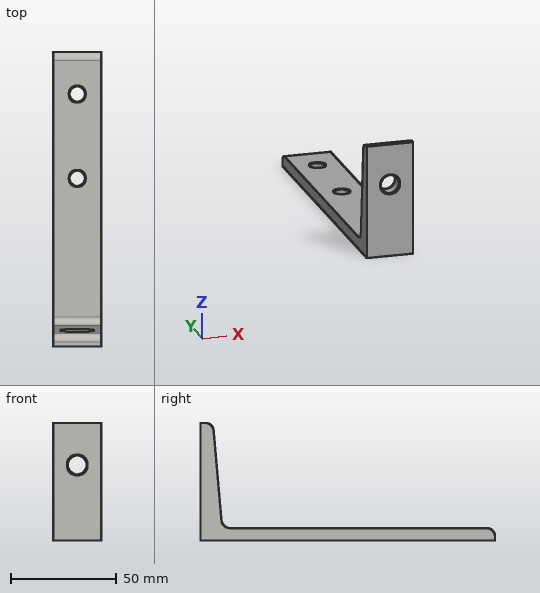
import cadquery as cq
import math

width = 23.0
length = 140.0
height = 56.0
thickness = 6.0
taper_angle = 5.0
edge_radius = 4.0

foot_hole_diameter = 7.3
foot_hole_rim_diameter = 8.1
foot_hole_end_distance = 20.0
foot_hole_spacing = 40.0

upright_hole_diameter = 9.0
upright_hole_rim_diameter = 10.0
upright_hole_height = 36.0
seat_diameter = 16.0
seat_distance = 7.0

taper_slope = math.tan(math.radians(taper_angle))
root_thickness = thickness + (height - thickness) * taper_slope


def make_bracket():
    """Extrude the L outline across the width and round its three edges."""
    outline = [
        (0, 0),
        (length, 0),
        (length, thickness),
        (root_thickness, thickness),
        (thickness, height),
        (0, height),
    ]
    rounded_corners = outline[2:5]
    body = cq.Workplane("YZ").polyline(outline).close().extrude(width / 2, both=True)
    for y, z in rounded_corners:
        corner = cq.selectors.NearestToPointSelector((0, y, z))
        body = body.edges(corner).fillet(edge_radius)
    return body


def chamfered_hole_cutter(diameter, rim_diameter, depth):
    """Cylinder from the origin along -Z, with a 45 degree flare at the origin."""
    flare = (rim_diameter - diameter) / 2
    profile = [
        (0, 0),
        (rim_diameter / 2, 0),
        (diameter / 2, -flare),
        (diameter / 2, -depth),
        (0, -depth),
    ]
    return cq.Workplane("XZ").polyline(profile).close().revolve(360, (0, 0), (0, 1))


result = make_bracket()
for index in range(2):
    hole_y = length - foot_hole_end_distance - index * foot_hole_spacing
    cutter = chamfered_hole_cutter(foot_hole_diameter, foot_hole_rim_diameter, thickness)
    result = result.cut(cutter.translate((0, hole_y, thickness)))

upright_cutter = chamfered_hole_cutter(
    upright_hole_diameter, upright_hole_rim_diameter, root_thickness
)
upright_cutter = upright_cutter.rotate((0, 0, 0), (1, 0, 0), 90)
seat_cutter = (
    cq.Workplane("XZ", origin=(0, seat_distance, 0))
    .circle(seat_diameter / 2)
    .extrude(seat_distance - root_thickness)
)
upright_cutter = upright_cutter.union(seat_cutter)
result = result.cut(upright_cutter.translate((0, 0, upright_hole_height)))